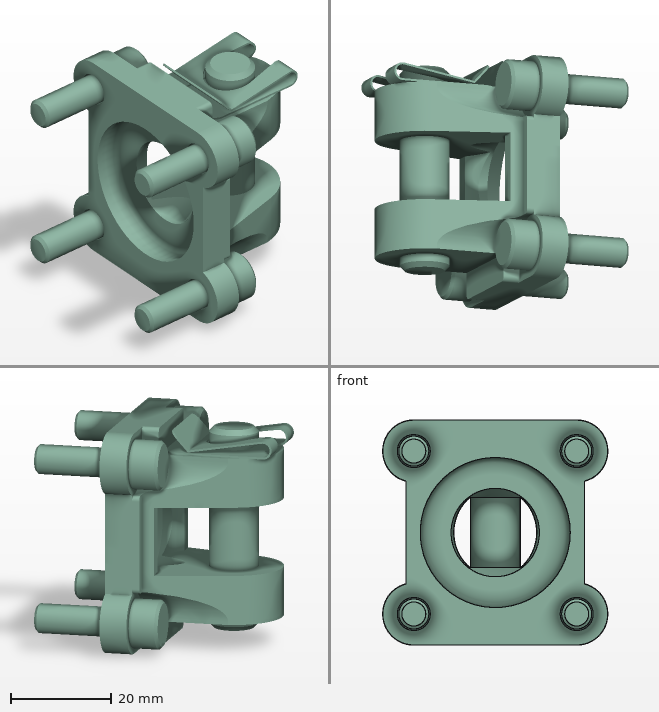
import cadquery as cq
import math


screw_offset = 16.28
lobe_radius = 6.25
flange_half = screw_offset + lobe_radius
flange_thickness = 5.55
waist_half_width = 17.85
shoulder_height = 7.0
boss_height = 9.0
pocket_radius = 6.3
pocket_wall = screw_offset - pocket_radius
edge_round = 0.98
screw_hole_diameter = 6.6

pin_height = 22.0
ear_radius = 10.0
ear_gap_half = 6.98
ear_outer = 17.0
relief_radius = 16.95
flank_angle = math.radians(15)
flank_fillet = 2.0

recess_diameter = 30.0
recess_depth = 5.0
recess_fillet = 0.98
bore_radius = 8.85
bore_taper = math.radians(15)

pin_diameter = 10.0
pin_top = 21.55
pin_bottom = -19.55
pin_chamfer = 0.98
groove_diameter = 8.0
groove_width = 0.98

screw_diameter = 6.0
screw_length = 20.0
screw_tip_chamfer = 0.6
head_diameter = 10.0
head_height = 6.0
head_top_chamfer = 0.6
head_seat_chamfer = 0.2
screw_points = [
    (side_x * screw_offset, side_z * screw_offset) for side_x in (-1, 1) for side_z in (-1, 1)
]

clip_thickness = 0.4
loop_inner_diameter = 2.85
clip_half_width = 9.0
clip_back = 32.05
arm_angle = math.radians(9.8)
arm_length = 15.2
tip_angle = math.radians(47.5)
tip_length = 5.25
tip_corner_radius = 2.0
leg_end = 10.05
arm_hole_radius = 5.5
tongue_radius = 8.0
tongue_corner_round = 0.55
leg_end_round = 2.45
loop_radius = loop_inner_diameter / 2 + clip_thickness
loop_y = clip_back - loop_radius
loop_z = ear_outer + loop_radius
leaf_top = ear_outer + clip_thickness
slot_half = groove_diameter / 2



def box(x_range, y_range, z_range):
    """Box from (min, max) pairs along X, Y and Z."""
    corner = (x_range[0], y_range[0], z_range[0])
    size = (x_range[1] - x_range[0], y_range[1] - y_range[0], z_range[1] - z_range[0])
    return cq.Workplane("XY").box(*size, centered=False).translate(corner)


def centred_box(half_x, y_range, half_z):
    return box((-half_x, half_x), y_range, (-half_z, half_z))


def at_height(y):
    """Plane at the given height on the flange axis: local x = X, local y = Z, normal = -Y."""
    return cq.Workplane("XZ", origin=(0, y, 0))


def at_pin(z):
    """Plane at the given z, normal to the pin and centred on its axis."""
    return cq.Workplane("XY", origin=(0, pin_height, z))



def make_flange_plate():
    y_range = (0, flange_thickness)
    middle = centred_box(waist_half_width, y_range, screw_offset)
    ends = centred_box(screw_offset, y_range, flange_half)
    lobes = at_height(0).pushPoints(screw_points).circle(lobe_radius).extrude(-flange_thickness)
    return middle.union(ends).union(lobes)


def make_boss():
    boss = centred_box(pocket_wall, (0, boss_height), flange_half)
    return boss.edges("|Y").fillet(edge_round)


def make_fork_blank():
    """Solid with the shoulder and ear outline in the XY plane, extruded over both ears."""
    flank_top_x = ear_radius * math.cos(flank_angle)
    flank_top_y = pin_height + ear_radius * math.sin(flank_angle)
    flank_foot_x = flank_top_x + (flank_top_y - shoulder_height) * math.tan(flank_angle)
    fillet_reach = flank_fillet * math.tan((math.pi / 2 - flank_angle) / 2)
    outline = (
        cq.Workplane("XY", origin=(0, 0, -ear_outer))
        .moveTo(0, 0)
        .lineTo(waist_half_width, 0)
        .lineTo(waist_half_width, shoulder_height)
        .lineTo(flank_foot_x + fillet_reach, shoulder_height)
        .tangentArcPoint(
            (
                flank_foot_x - fillet_reach * math.sin(flank_angle),
                shoulder_height + fillet_reach * math.cos(flank_angle),
            ),
            relative=False,
        )
        .lineTo(flank_top_x, flank_top_y)
        .tangentArcPoint((0, pin_height + ear_radius), relative=False)
        .mirrorY()
    )
    return outline.extrude(2 * ear_outer)


def make_corner_pockets():
    """Clearance around the screw heads, open outward, with one round inner corner each."""
    pocket_range = (pocket_wall, 2 * flange_half)
    pocket = box(pocket_range, (flange_thickness, 2 * pin_height), pocket_range)
    pocket = pocket.edges("|Y and <X and <Z").fillet(pocket_radius)
    pair = pocket.union(pocket.mirror("YZ"))
    return pair.union(pair.mirror("XY"))


def make_fork():
    fork = make_fork_blank().cut(make_corner_pockets())
    fork = fork.intersect(
        centred_box(flange_half, (flange_thickness, 2 * pin_height), ear_outer)
    )
    fork = fork.edges("|Y and (<X or >X)").fillet(edge_round)
    ear_gap = centred_box(flange_half, (boss_height, 2 * pin_height), ear_gap_half)
    return fork.cut(ear_gap)


def cut_bore(body):
    """Front recess and the conical bore that runs out in the inner faces of the ears."""
    recess = at_height(0).circle(recess_diameter / 2).extrude(-recess_depth)
    recess = recess.edges(">Y").fillet(recess_fillet)
    apex = recess_depth + bore_radius / math.tan(bore_taper)
    bore = (
        cq.Workplane("XY")
        .polyline([(0, recess_depth), (bore_radius, recess_depth), (0, apex)])
        .close()
        .revolve(360, (0, 0, 0), (0, 1, 0))
    )
    return body.cut(recess).cut(bore)


def cut_floor_relief(body):
    """Hollow the fork floor for a mating eye that swings around the pin."""
    relief = at_pin(-ear_gap_half).circle(relief_radius).extrude(2 * ear_gap_half)
    return body.cut(relief)


def cut_holes(body):
    """Pin hole through both ears and clearance holes for the screws."""
    pin_hole = at_pin(-ear_outer).circle(pin_diameter / 2).extrude(2 * ear_outer)
    screw_holes = (
        at_height(0).pushPoints(screw_points).circle(screw_hole_diameter / 2).extrude(-flange_thickness)
    )
    return body.cut(pin_hole).cut(screw_holes)


def make_fork_flange():
    body = make_flange_plate().union(make_boss()).union(make_fork())
    return cut_holes(cut_bore(cut_floor_relief(body)))



def make_pin():
    pin = at_pin(pin_bottom).circle(pin_diameter / 2).extrude(pin_top - pin_bottom)
    pin = pin.faces("<Z or >Z").chamfer(pin_chamfer)
    groove = (
        at_pin(ear_outer).circle(pin_diameter).circle(groove_diameter / 2).extrude(groove_width)
    )
    return pin.cut(groove)



def make_screw(x, z):
    head = at_height(flange_thickness).circle(head_diameter / 2).extrude(-head_height)
    head = head.edges(">Y").chamfer(head_top_chamfer).edges("<Y").chamfer(head_seat_chamfer)
    shank = at_height(flange_thickness).circle(screw_diameter / 2).extrude(screw_length)
    shank = shank.edges("<Y").chamfer(screw_tip_chamfer)
    return head.union(shank).translate((x, 0, z))



def make_clip_strip():
    """Bent strip in the YZ plane: lower leaf, loop, sloping arm and raised tip."""
    arm = cq.Vector(-math.cos(arm_angle), -math.sin(arm_angle))
    arm_normal = cq.Vector(-math.sin(arm_angle), math.cos(arm_angle))
    tip = cq.Vector(-math.cos(tip_angle), math.sin(tip_angle))
    tip_normal = cq.Vector(math.sin(tip_angle), math.cos(tip_angle))
    miter = (arm_normal + tip_normal) * (1 / (1 + arm_normal.dot(tip_normal)))

    loop_centre = cq.Vector(loop_y, loop_z)
    inner_radius = loop_inner_diameter / 2
    loop_back = cq.Vector(1, 0)
    arm_start = loop_centre + arm_normal * loop_radius
    bend = arm_start + arm * arm_length
    tip_end = bend + tip * tip_length

    def point(vector):
        return (vector.x, vector.y)

    outline = (
        cq.Workplane("YZ", origin=(-clip_half_width, 0, 0))
        .moveTo(leg_end, ear_outer)
        .lineTo(loop_y, ear_outer)
        .threePointArc(point(loop_centre + loop_back * loop_radius), point(arm_start))
        .lineTo(*point(bend))
        .lineTo(*point(tip_end))
        .lineTo(*point(tip_end - tip_normal * clip_thickness))
        .lineTo(*point(bend - miter * clip_thickness))
        .lineTo(*point(loop_centre + arm_normal * inner_radius))
        .threePointArc(point(loop_centre + loop_back * inner_radius), (loop_y, leaf_top))
        .lineTo(leg_end, leaf_top)
        .close()
    )
    tip_corners = cq.selectors.BoxSelector(
        (-flange_half, 0, loop_z), (flange_half, tip_end.x + clip_thickness, flange_half)
    )
    strip = outline.extrude(2 * clip_half_width)
    return strip.edges(tip_corners).edges("not |X").fillet(tip_corner_radius)


def make_arm_window():
    """Opening around the pin head that narrows to the slot through the loop."""
    slot_y = clip_back - pin_height
    corner_distance = math.hypot(slot_half, slot_y)
    tangent_angle = math.atan2(slot_y, slot_half) - math.acos(arm_hole_radius / corner_distance)
    tangent_x = arm_hole_radius * math.cos(tangent_angle)
    tangent_y = arm_hole_radius * math.sin(tangent_angle)
    return (
        at_pin(leaf_top)
        .moveTo(-slot_half, slot_y)
        .lineTo(slot_half, slot_y)
        .lineTo(tangent_x, tangent_y)
        .threePointArc((0, -arm_hole_radius), (-tangent_x, tangent_y))
        .close()
        .extrude(2 * loop_radius)
    )


def make_leaf_window():
    """Slot through the lower half of the loop, ending on the rounded tongue."""
    slot = box((-slot_half, slot_half), (pin_height, clip_back), (ear_outer, loop_z))
    tongue = at_pin(ear_outer).circle(tongue_radius).extrude(loop_z - ear_outer)
    tongue_corners = cq.selectors.BoxSelector(
        (-clip_half_width, pin_height, 0), (clip_half_width, loop_y, pin_top)
    )
    return slot.cut(tongue).edges("|Z").edges(tongue_corners).fillet(tongue_corner_round)


def make_fork_slot():
    """Slot of the lower leaf that slides over the pin groove."""
    seat = at_pin(ear_outer).circle(slot_half).extrude(clip_thickness)
    return seat.union(box((-slot_half, slot_half), (0, pin_height), (ear_outer, leaf_top)))


def make_clip():
    clip = make_clip_strip()
    clip = clip.cut(make_arm_window()).cut(make_leaf_window()).cut(make_fork_slot())
    return clip.faces("<Y").edges("|Z").fillet(leg_end_round)


fork_flange = make_fork_flange()
pin = make_pin()
clip = make_clip()
screws = [make_screw(x, z) for x, z in screw_points]

result = cq.Compound.makeCompound(
    [fork_flange.val(), pin.val(), clip.val(), *[screw.val() for screw in screws]]
)